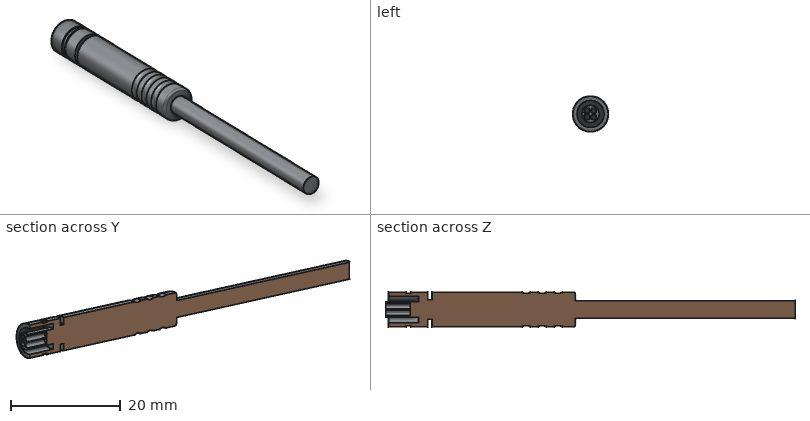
import cadquery as cq

total_length = 74.8
sleeve_front = 0.5
sleeve_groove_start = 3.75
sleeve_groove_end = 4.65
sleeve_rear = 7.7
body_front = 8.45
body_rear = 34.7

outer_diameter = 6.5
cable_diameter = 3.5
outer_radius = outer_diameter / 2
sleeve_groove_radius = 3.1
neck_radius = 1.95
cable_radius = cable_diameter / 2
bore_radius = 2.5
insert_radius = 1.6

bore_floor = 6.0
contact_offset = 0.6
contact_hole_radius = 0.485
contact_hole_depth = 4.5
key_width = 0.7
key_depth = 0.5
key_length = 2.25

grip_front = 24.9
grip_pitch = 2.9
grip_count = 3
grip_width = 1.5
grip_depth = 0.2

rear_fillet = 0.45


def cylinder(start, end, radius):
    """Solid cylinder along X between two stations."""
    return cq.Workplane("YZ").workplane(offset=start).circle(radius).extrude(end - start)


def ring(start, end, inner, outer):
    """Tube along X between two stations."""
    return cylinder(start, end, outer).cut(cylinder(start, end, inner))


def make_sleeve():
    """Front coupling sleeve with an outer groove and a blind bore."""
    sleeve = cylinder(sleeve_front, sleeve_rear, outer_radius)
    sleeve = sleeve.cut(ring(sleeve_groove_start, sleeve_groove_end, sleeve_groove_radius, outer_radius))
    return sleeve.cut(cylinder(sleeve_front, bore_floor, bore_radius))


def make_insert():
    """Contact carrier with four contact holes and a key slot on its +Y side."""
    insert = cylinder(0, sleeve_rear, insert_radius)
    spacing = 2 * contact_offset
    holes = (
        cq.Workplane("YZ")
        .rarray(spacing, spacing, 2, 2)
        .circle(contact_hole_radius)
        .extrude(contact_hole_depth)
    )
    key_slot = cq.Workplane("XY").box(key_length, key_depth, key_width, centered=(False, False, True))
    key_slot = key_slot.translate((0, insert_radius - key_depth, 0))
    return insert.cut(holes).cut(key_slot)


def grip_groove(start):
    """Shallow groove of circular-arc section around the body."""
    return (
        cq.Workplane("XY")
        .moveTo(start, outer_radius)
        .threePointArc(
            (start + grip_width / 2, outer_radius - grip_depth),
            (start + grip_width, outer_radius),
        )
        .close()
        .revolve(360, (0, 0, 0), (1, 0, 0))
    )


def make_body():
    """Overmoulded body with a rounded rear edge and grip grooves."""
    body = cylinder(body_front, body_rear, outer_radius)
    body = body.faces(">X").edges().fillet(rear_fillet)
    for index in range(grip_count):
        body = body.cut(grip_groove(grip_front + index * grip_pitch))
    return body


neck = cylinder(sleeve_rear, body_front, neck_radius)
cable = cylinder(body_rear, total_length, cable_radius)
result = make_sleeve().union(make_insert()).union(neck).union(make_body()).union(cable)